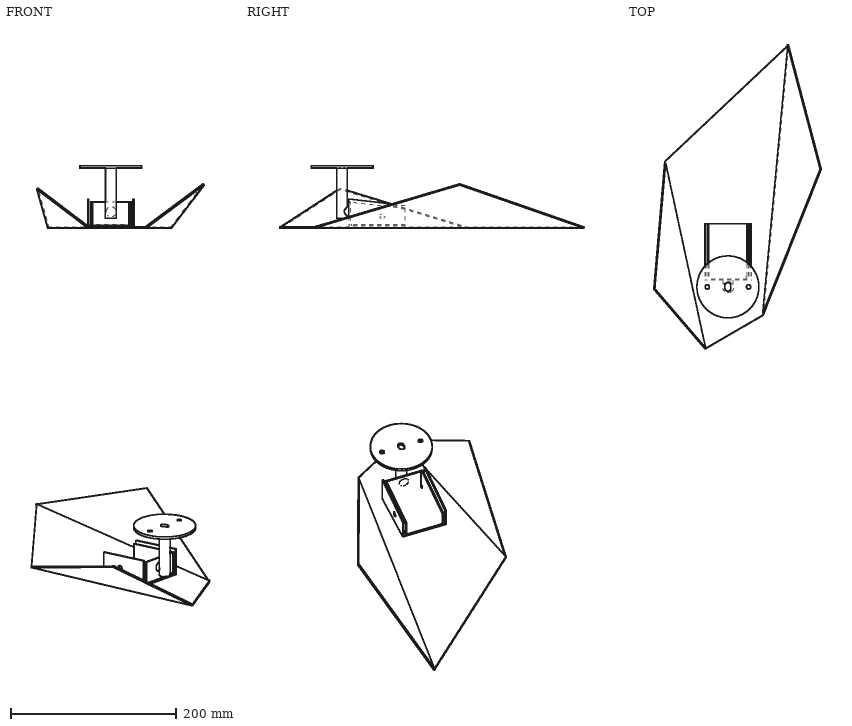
import cadquery as cq


shade_length = 367.5
shade_thickness = 2.0
wing_overhang = 0.132
foot_y = -75.0
tip_y = foot_y + shade_length - wing_overhang
tip = (73.0, tip_y, 0)
left_shoulder = (-76.5, 151.5, 0)
left_apex = (-89.5, -2.5, 47.0)
foot = (-27.5, foot_y, 0)
right_heel = (42.5, -34.0, 0)
right_apex = (113.0, 142.2, 52.0)

sheet = 1.5
bracket_front = 8.5
bracket_rear = 76.0
bracket_slope = 0.115
channel_width = 56.2
channel_front_height = 35.3
side_gap = 2.2
tray_width = channel_width - 2 * (sheet + side_gap)
tray_front_height = 32.0
tray_bend_radius = 2.75
tray_corner_gap = 0.92
pivot_diameter = 6.0
pivot_from_front = 40.0
pivot_height = 14.7
channel_bottom = shade_thickness
tray_bottom = channel_bottom + sheet

top_height = 75.7
plate_thickness = 3.0
plate_diameter = 75.0
screw_spacing = 50.0
screw_hole_diameter = 5.0
slot_width = 7.5
slot_length = 10.3
slot_angle = 90
stem_diameter = 13.2
stem_bottom = 11.8
boss_diameter = 12.0
boss_height = 20.2


def panel(corners):
    """Flat sheet whose lower skin is the polygon through corners listed counter-clockwise from above."""
    vectors = [cq.Vector(*corner) for corner in corners]
    normal = (vectors[1] - vectors[0]).cross(vectors[2] - vectors[0]).normalized()
    face = cq.Face.makeFromWires(cq.Wire.makePolygon(vectors, close=True))
    return cq.Workplane(cq.Solid.extrudeLinear(face, normal * shade_thickness))


def make_shade():
    floor = panel([tip, left_shoulder, foot, right_heel])
    left_wing = panel([left_shoulder, left_apex, foot])
    right_wing = panel([tip, right_heel, right_apex])
    return floor.union(left_wing).union(right_wing)


def sloped_block(width, front, rear, bottom, top_at_front):
    """Block centred on X = 0 whose top falls towards the rear, measured from the bracket front."""
    def top(y):
        return top_at_front - bracket_slope * (y - bracket_front)

    profile = [(front, bottom), (rear, bottom), (rear, top(rear)), (front, top(front))]
    return cq.Workplane("YZ").polyline(profile).close().extrude(width / 2, both=True)


def pivot_cutter():
    """Round bar along X that pierces both side walls of the channel."""
    return (
        cq.Workplane("YZ")
        .center(bracket_front + pivot_from_front, pivot_height)
        .circle(pivot_diameter / 2)
        .extrude(channel_width, both=True)
    )


def make_channel():
    """Outer bracket: a floor and two side walls, open at both ends."""
    block = sloped_block(channel_width, bracket_front, bracket_rear, channel_bottom, channel_front_height)
    inner_width = channel_width - 2 * sheet
    cavity = cq.Workplane("XY").box(
        inner_width, 2 * bracket_rear, channel_front_height, centered=(True, True, False)
    ).translate((0, bracket_rear, channel_bottom + sheet))
    return block.cut(cavity).cut(pivot_cutter())


def make_tray():
    """Inner bracket: a floor with two side walls and a front flap bent up, open at the rear."""
    inner_width = tray_width - 2 * sheet
    flap_width = inner_width - 2 * tray_corner_gap
    inner_radius = tray_bend_radius - sheet
    inner_bottom = tray_bottom + sheet
    cavity_rear = 2 * bracket_rear
    cavity_top = 2 * tray_front_height

    trough = sloped_block(tray_width, bracket_front, bracket_rear, tray_bottom, tray_front_height)
    trough = trough.edges("<Z and |Y").fillet(tray_bend_radius)
    trough_cavity = sloped_block(inner_width, 0, cavity_rear, inner_bottom, cavity_top)
    trough_cavity = trough_cavity.edges("<Z and |Y").fillet(inner_radius)

    flap_rear = bracket_front + tray_bend_radius
    flap = sloped_block(flap_width, bracket_front, flap_rear + sheet, tray_bottom, tray_front_height)
    flap = flap.edges("<Z and <Y").fillet(tray_bend_radius)
    flap_cavity = sloped_block(tray_width, bracket_front + sheet, cavity_rear, inner_bottom, cavity_top)
    flap_cavity = flap_cavity.edges("<Z and <Y").fillet(inner_radius)
    flap_slot = sloped_block(inner_width, 0, flap_rear, 0, cavity_top)

    return trough.cut(trough_cavity).cut(flap_slot).union(flap.cut(flap_cavity))


def make_stem():
    """Round rod with a short side boss that reaches the tray's front wall."""
    plate_bottom = top_height - plate_thickness
    rod = (
        cq.Workplane("XY", origin=(0, 0, stem_bottom))
        .circle(stem_diameter / 2)
        .extrude(plate_bottom - stem_bottom)
    )
    boss = (
        cq.Workplane("XZ", origin=(0, 0, boss_height))
        .circle(boss_diameter / 2)
        .extrude(-bracket_front)
    )
    return rod.union(boss)


def make_ceiling_plate():
    plate = (
        cq.Workplane("XY", origin=(0, 0, top_height - plate_thickness))
        .circle(plate_diameter / 2)
        .extrude(plate_thickness)
    )
    screw_points = [(-screw_spacing / 2, 0), (screw_spacing / 2, 0)]
    plate = plate.faces(">Z").workplane().pushPoints(screw_points).hole(screw_hole_diameter)
    return plate.faces(">Z").workplane().slot2D(slot_length, slot_width, slot_angle).cutThruAll()


shade = make_shade()
channel = make_channel()
tray = make_tray()
stem = make_stem()
ceiling_plate = make_ceiling_plate()

result = cq.Compound.makeCompound(
    [shade.val(), channel.val(), tray.val(), stem.val(), ceiling_plate.val()]
)